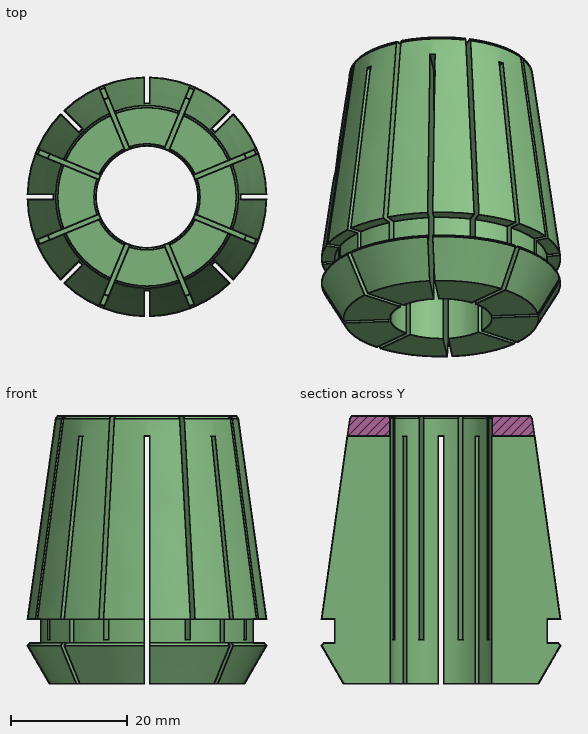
import cadquery as cq
import math

total_height = 46.0
rim_height = 6.6
groove_floor_height = 7.05
cone_base_height = 11.15

rim_radius = 20.5
neck_radius = 18.25
bore_radius = 8.75

cone_angle = 8.0
nose_angle = 30.0

bore_break = 0.35
rim_break_width = 0.4
top_break_width = 0.35
top_break_height = 0.45

slot_width = 0.87
slots_per_end = 8
slot_pitch = 360.0 / slots_per_end
lower_slot_end = 42.5
upper_slot_end = 7.6


def cone_radius(height):
    """Radius of the long clamping cone at a given height."""
    return rim_radius - (height - cone_base_height) * math.tan(math.radians(cone_angle))


def collet_body():
    """Revolve the clamping cone, neck, nose cone and bore as one profile."""
    nose_radius = rim_radius - rim_height * math.tan(math.radians(nose_angle))
    break_base = total_height - top_break_height
    break_radius = cone_radius(break_base)
    profile = [
        (bore_radius, 0),
        (nose_radius, 0),
        (rim_radius, rim_height),
        (rim_radius - rim_break_width, groove_floor_height),
        (neck_radius, groove_floor_height),
        (neck_radius, cone_base_height),
        (rim_radius, cone_base_height),
        (break_radius, break_base),
        (break_radius - top_break_width, total_height),
        (bore_radius + bore_break, total_height),
        (bore_radius, total_height - bore_break),
    ]
    return cq.Workplane("XZ").polyline(profile).close().revolve(360, (0, 0, 0), (0, 1, 0))


def radial_slots(bottom, top, first_angle):
    """Ring of radial blades running from the axis out past the rim."""
    blade = (
        cq.Workplane("XY")
        .workplane(offset=bottom)
        .rect(2 * rim_radius + slot_width, slot_width)
        .extrude(top - bottom)
    )
    blades = cq.Workplane("XY")
    for index in range(slots_per_end // 2):
        angle = first_angle + index * slot_pitch
        blades = blades.add(blade.rotate((0, 0, 0), (0, 0, 1), angle))
    return blades.combine()


lower_slots = radial_slots(0, lower_slot_end, 0)
upper_slots = radial_slots(upper_slot_end, total_height, slot_pitch / 2)

result = collet_body().cut(lower_slots).cut(upper_slots)